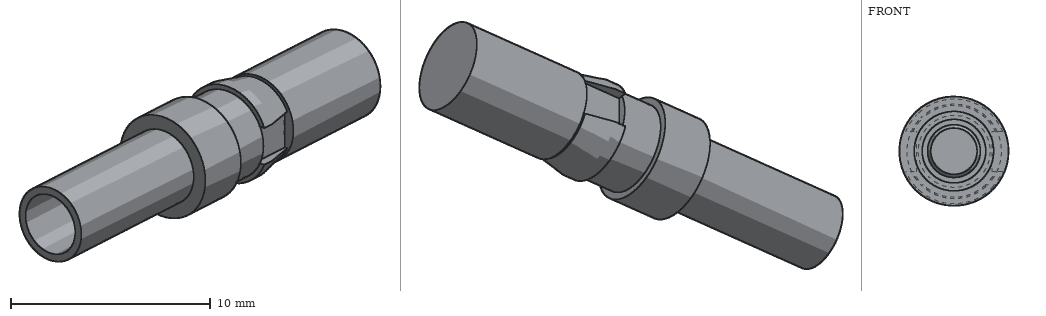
import cadquery as cq

length = 23.5
tube_end = -length / 2
barrel_end = length / 2
collar_front = -2.75
collar_rear = 0.1
rim_front = 2.37
taper_front = 3.0
taper_rear = 4.65
barrel_front = 4.77

tube_radius = 4.0 / 2
collar_radius = 5.5 / 2
body_radius = 4.75 / 2
rim_radius = 5.26 / 2
taper_end_radius = 4.6 / 2
neck_radius = 3.62 / 2

socket_radius = 3.2 / 2
socket_floor = collar_front
pin_radius = 2.65 / 2
pin_tip_radius = 2.33 / 2
pin_recess = 3.0
pin_chamfer_length = 0.16

notch_width = 2.02
notch_floor = 1.9


def turned_body():
    """Stepped solid of revolution about Y, with the socket and its pin included."""
    pin_tip = tube_end + pin_recess
    profile = [
        (0, pin_tip),
        (pin_tip_radius, pin_tip),
        (pin_radius, pin_tip + pin_chamfer_length),
        (pin_radius, socket_floor),
        (socket_radius, socket_floor),
        (socket_radius, tube_end),
        (tube_radius, tube_end),
        (tube_radius, collar_front),
        (collar_radius, collar_front),
        (collar_radius, collar_rear),
        (body_radius, collar_rear),
        (body_radius, rim_front),
        (rim_radius, rim_front),
        (rim_radius, taper_front),
        (taper_end_radius, taper_rear),
        (neck_radius, taper_rear),
        (neck_radius, barrel_front),
        (body_radius, barrel_front),
        (body_radius, barrel_end),
        (0, barrel_end),
    ]
    return cq.Workplane("XY").polyline(profile).close().revolve(360, (0, 0, 0), (0, 1, 0))


def notch(side):
    """Flat-floored cutter on the +X (side = 1) or -X (side = -1) side."""
    notch_depth = collar_radius - notch_floor
    return (
        cq.Workplane("XY")
        .box(notch_depth, taper_rear - rim_front, notch_width)
        .translate((side * (notch_floor + notch_depth / 2), (rim_front + taper_rear) / 2, 0))
    )


result = turned_body()
for side in (-1, 1):
    result = result.cut(notch(side))